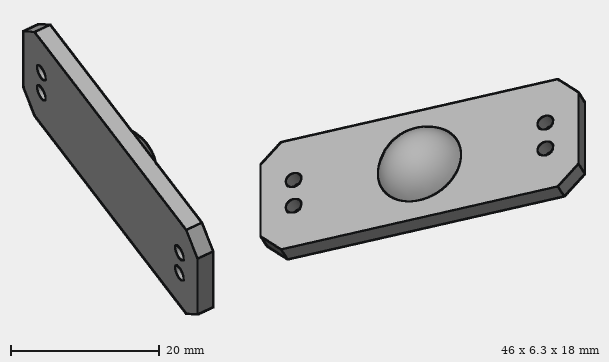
import cadquery as cq

length = 46.0
height = 18.0
thickness = 2.5
corner_cut = 3.0

overall_depth = 6.3
dome_height = overall_depth - thickness
dome_base_radius = 6.03
sphere_radius = (dome_base_radius**2 + dome_height**2) / (2 * dome_height)

hole_diameter = 2.25
hole_spacing_x = 36.45
hole_spacing_z = 4.32


def make_plate():
    """Rectangular plate with its four upright corners cut at 45 degrees."""
    plate = cq.Workplane("XY").box(length, thickness, height, centered=(True, False, True))
    return plate.edges("|Y").chamfer(corner_cut)


def make_dome():
    """Sphere whose cap beyond the back face forms the dome; the rest is cut away."""
    sphere_center_y = overall_depth - sphere_radius
    sphere = cq.Workplane("XY").sphere(sphere_radius).translate((0, sphere_center_y, 0))
    cap_side = 2 * sphere_radius
    keep = (
        cq.Workplane("XY")
        .box(cap_side, overall_depth, cap_side, centered=(True, False, True))
        .translate((0, thickness / 2, 0))
    )
    return sphere.intersect(keep)


def make_holes():
    """Cylinders running through the full plate thickness."""
    return (
        cq.Workplane("XZ")
        .rarray(hole_spacing_x, hole_spacing_z, 2, 2)
        .circle(hole_diameter / 2)
        .extrude(-thickness)
    )


result = make_plate().union(make_dome()).cut(make_holes())